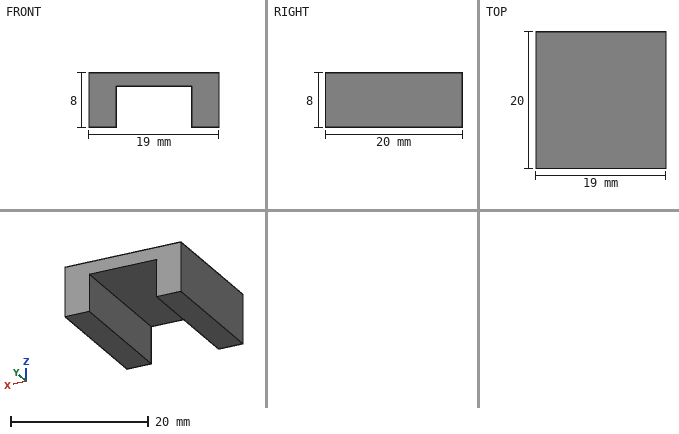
import cadquery as cq

width = 19.0
length = 20.0
height = 8.0

leg_thickness = 4.0
top_thickness = 2.0

channel_width = width - 2 * leg_thickness
channel_height = height - top_thickness

block = cq.Workplane("XY").box(width, length, height, centered=(True, True, False))

channel = cq.Workplane("XY").box(
    channel_width, length, channel_height, centered=(True, True, False)
)

result = block.cut(channel)